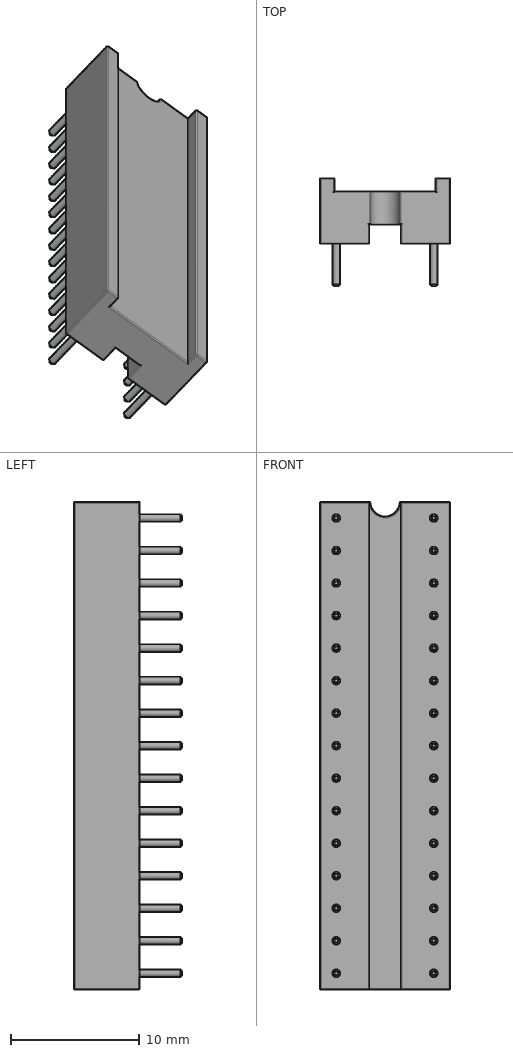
import cadquery as cq

pins_per_row = 15
body_length = 38.1
body_width = 10.17
body_depth = 5.15
overall_depth = 8.45
row_spacing = 7.62
pin_diameter = 0.6
pin_tip_chamfer = 0.15
side_wall = 1.15
recess_depth = 1.03
channel_width = 2.45
channel_depth = 1.5
notch_radius = 1.15
edge_radius = 0.1

pin_pitch = body_length / pins_per_row
pin_length = overall_depth - body_depth


def make_body():
    """Socket body standing along Z, with its pin face on the plane Y = 0."""
    half_width = body_width / 2
    half_channel = channel_width / 2
    recess_edge = half_width - side_wall
    recess_floor = body_depth - recess_depth
    half_outline = [
        (0, channel_depth),
        (half_channel, channel_depth),
        (half_channel, 0),
        (half_width, 0),
        (half_width, body_depth),
        (recess_edge, body_depth),
        (recess_edge, recess_floor),
        (0, recess_floor),
    ]
    right_half = cq.Workplane("XY").polyline(half_outline).close().extrude(body_length)
    block = right_half.union(right_half.mirror("YZ"))
    return block.faces("<Z or >Z or <Y or >Y").edges().fillet(edge_radius)


def cut_notch(body):
    """Cut the half-round orientation notch through the web at the upper end and round its rims."""
    notch = (
        cq.Workplane("XZ", origin=(0, body_depth, body_length))
        .circle(notch_radius)
        .extrude(body_depth)
    )
    notched = body.cut(notch)
    rims = notched.edges("%CIRCLE").edges(cq.selectors.RadiusNthSelector(-1))
    return rims.fillet(edge_radius)


def make_pin(x, z):
    """Round pin pointing toward -Y, with a chamfered tip."""
    return (
        cq.Workplane("XZ", origin=(x, 0, z))
        .circle(pin_diameter / 2)
        .extrude(pin_length)
        .faces("<Y")
        .chamfer(pin_tip_chamfer)
    )


result = cut_notch(make_body())
for index in range(pins_per_row):
    pin_height = (index + 0.5) * pin_pitch
    for row_x in (-row_spacing / 2, row_spacing / 2):
        result = result.union(make_pin(row_x, pin_height))